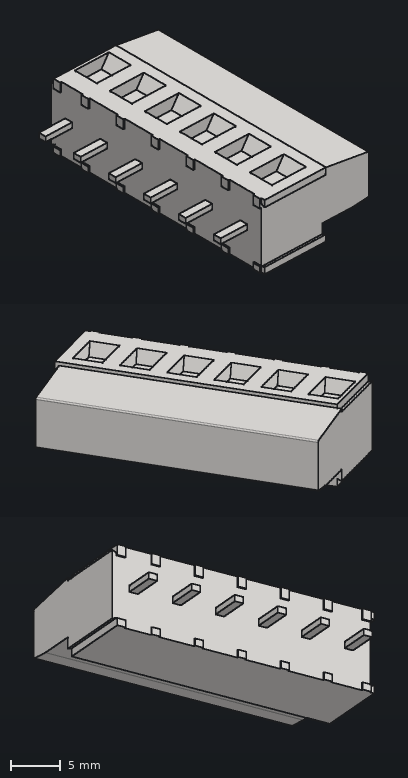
import cadquery as cq


POLES = 6
PITCH = 5.08
JOINT_OFFSET = 0.5
BODY_LENGTH = POLES * PITCH

HEIGHT = 9.0
TERMINAL_DEPTH = 8.52
PLATE_THICKNESS = 0.7
JOINT_DROP = 0.2

PLUG_DEPTH = 6.5
PLUG_TOP_STEP = 0.4
PLUG_TOP_FALL = 0.93
PLUG_BASE = 1.98
PLUG_BASE_RISE = 0.22
PLUG_BASE_TAPER_DEPTH = 2.32
PLUG_EDGE_RADIUS = 0.2

FUNNEL_WIDTH = 3.2
FUNNEL_FRONT = 2.4
FUNNEL_BACK = 7.13
FUNNEL_FLOOR_WIDTH = 2.8
FUNNEL_FLOOR_FRONT = 3.2
FUNNEL_FLOOR_BACK = 5.9
FUNNEL_DEPTH = 1.4

PIN_WIDTH = 1.0
PIN_THICKNESS = 0.7
PIN_LENGTH = 3.7
PIN_HEIGHT = HEIGHT / 2

TAB_WIDTH = 1.0
TAB_PROJECTION = 0.2
TOP_TAB_HEIGHT = 1.2
BOTTOM_TAB_HEIGHT = 0.8


def box(x_start, x_end, y_start, y_end, z_start, z_end):
    """Axis-aligned box between the given limits."""
    size = (x_end - x_start, y_end - y_start, z_end - z_start)
    return cq.Workplane("XY").box(*size, centered=False).translate((x_start, y_start, z_start))


def terminal_section():
    """Interlocking end profile, extruded from the front face to the plug."""
    plate_end = BODY_LENGTH + JOINT_OFFSET
    shallow = PLATE_THICKNESS
    deep = PLATE_THICKNESS + JOINT_DROP
    profile = [
        (JOINT_OFFSET, 0),
        (plate_end, 0),
        (plate_end, deep),
        (BODY_LENGTH, shallow),
        (BODY_LENGTH, HEIGHT - shallow),
        (plate_end, HEIGHT - deep),
        (plate_end, HEIGHT),
        (JOINT_OFFSET, HEIGHT),
        (JOINT_OFFSET, HEIGHT - deep),
        (0, HEIGHT - shallow),
        (0, shallow),
        (JOINT_OFFSET, deep),
    ]
    return cq.Workplane("XZ").polyline(profile).close().extrude(-TERMINAL_DEPTH)


def plug_section():
    """Tapered plug body with rounded rear edges."""
    rear = TERMINAL_DEPTH + PLUG_DEPTH
    top = HEIGHT - PLUG_TOP_STEP
    profile = [
        (TERMINAL_DEPTH, PLUG_BASE),
        (rear - PLUG_BASE_TAPER_DEPTH, PLUG_BASE),
        (rear, PLUG_BASE + PLUG_BASE_RISE),
        (rear, top - PLUG_TOP_FALL),
        (TERMINAL_DEPTH, top),
    ]
    plug = cq.Workplane("YZ").polyline(profile).close().extrude(BODY_LENGTH)
    return plug.faces(">Y").edges("|X").fillet(PLUG_EDGE_RADIUS)


def wire_funnel(x_center):
    """Four-sided funnel narrowing from the top plate to a flat floor."""
    mouth_center = (FUNNEL_FRONT + FUNNEL_BACK) / 2
    floor_center = (FUNNEL_FLOOR_FRONT + FUNNEL_FLOOR_BACK) / 2
    return (
        cq.Workplane("XY", origin=(x_center, mouth_center, HEIGHT))
        .rect(FUNNEL_WIDTH, FUNNEL_BACK - FUNNEL_FRONT)
        .workplane(offset=-FUNNEL_DEPTH)
        .center(0, floor_center - mouth_center)
        .rect(FUNNEL_FLOOR_WIDTH, FUNNEL_FLOOR_BACK - FUNNEL_FLOOR_FRONT)
        .loft(ruled=True)
    )


def pin(x_center):
    """Contact pin standing out of the front face."""
    return box(
        x_center - PIN_WIDTH / 2,
        x_center + PIN_WIDTH / 2,
        -PIN_LENGTH,
        0,
        PIN_HEIGHT - PIN_THICKNESS / 2,
        PIN_HEIGHT + PIN_THICKNESS / 2,
    )


def tab_pair(x_start):
    """Upper and lower stand-off tabs on the front face."""
    x_end = x_start + TAB_WIDTH
    upper = box(x_start, x_end, -TAB_PROJECTION, 0, HEIGHT - TOP_TAB_HEIGHT, HEIGHT)
    lower = box(x_start, x_end, -TAB_PROJECTION, 0, 0, BOTTOM_TAB_HEIGHT)
    return upper.union(lower)


result = terminal_section().union(plug_section())

for pole in range(POLES):
    pole_center = (pole + 0.5) * PITCH
    result = result.cut(wire_funnel(pole_center))
    result = result.union(pin(pole_center))

for boundary in range(POLES + 1):
    centered_start = boundary * PITCH - TAB_WIDTH / 2
    tab_start = min(max(centered_start, JOINT_OFFSET), BODY_LENGTH - TAB_WIDTH)
    result = result.union(tab_pair(tab_start))